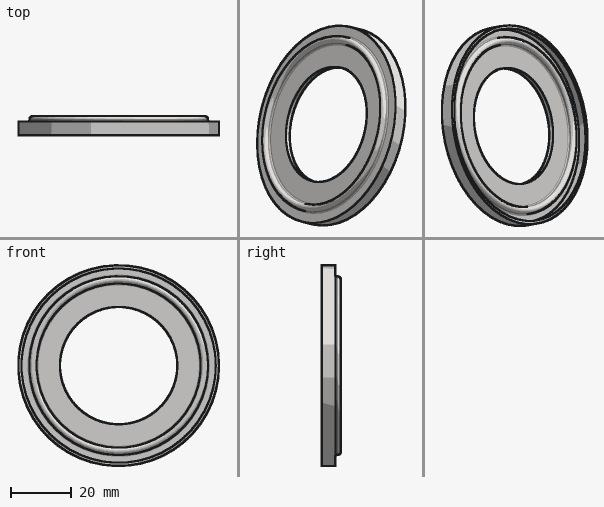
import cadquery as cq

outer_diameter = 66.2
rim_inner_diameter = 64.0
bore_diameter = 38.6
bead_outer_diameter = 58.9
bead_inner_diameter = 54.1

overall_depth = 6.4
bead_height = 1.85
web_thickness = 1.8
root_fillet = 0.4

rim_depth = overall_depth - bead_height
bead_width = (bead_outer_diameter - bead_inner_diameter) / 2
bead_center_radius = (bead_outer_diameter + bead_inner_diameter) / 4
bead_crown_radius = bead_width / 2

back_y = overall_depth / 2 - bead_height
web_front_y = back_y - web_thickness
rim_front_y = back_y - rim_depth


def disc_ring(outer, inner, front_y, back_y):
    """Flat ring around the Y axis between two Y positions."""
    profile = cq.Workplane("XZ", origin=(0, back_y, 0)).circle(outer / 2).circle(inner / 2)
    return profile.extrude(back_y - front_y)


def bead(face_y, direction):
    """Round-crowned bead with concave root fillets, rising from a web face along direction."""
    inner = bead_inner_diameter / 2
    outer = bead_outer_diameter / 2
    fillet_y = face_y + direction * root_fillet
    shoulder_y = face_y + direction * (bead_height - bead_crown_radius)
    crest_y = face_y + direction * bead_height
    fillet_mid = root_fillet * (1 - 0.5 ** 0.5)
    fillet_mid_y = face_y + direction * fillet_mid
    profile = (
        cq.Workplane("XY")
        .moveTo(inner - root_fillet, face_y)
        .threePointArc((inner - fillet_mid, fillet_mid_y), (inner, fillet_y))
        .lineTo(inner, shoulder_y)
        .threePointArc((bead_center_radius, crest_y), (outer, shoulder_y))
        .lineTo(outer, fillet_y)
        .threePointArc((outer + fillet_mid, fillet_mid_y), (outer + root_fillet, face_y))
        .close()
    )
    return profile.revolve(360, (0, 0, 0), (0, 1, 0))


web = disc_ring(outer_diameter, bore_diameter, web_front_y, back_y)
rim = disc_ring(outer_diameter, rim_inner_diameter, rim_front_y, back_y)
back_bead = bead(back_y, 1)
front_bead = bead(web_front_y, -1)

result = web.union(rim).union(back_bead).union(front_bead)